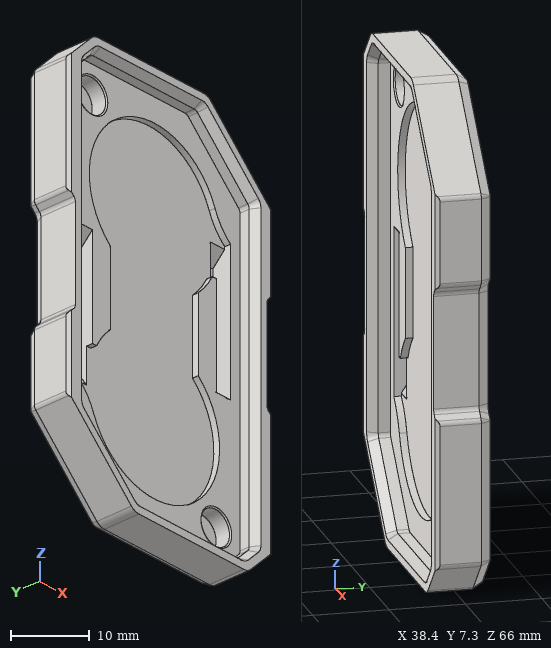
import cadquery as cq
import math

LENGTH = 66.0
WIDTH = 38.4
THICKNESS = 7.3
FRONT_Y = -THICKNESS / 2
HALF_TURN = 180.0

WAIST_WIDTH = 36.0
WAIST_HALF_LENGTH = 7.85
SMALL_CUT = 3.55
LARGE_CUT = 11.1
END_CORNER_RADIUS = 2.0
SIDE_CORNER_RADIUS = 0.9

BEVEL_ANGLE = 30.0
BACK_BEVEL_DEPTH = 1.4
SIDE_BEVEL_SIZE = 0.5

RIM_WIDTH = 1.2
RIM_BEVEL_DEPTH = 1.3
RECESS_CORNER_RADIUS = 1.65
RECESS_DEPTH = 2.9
FLOOR_Y = FRONT_Y + RECESS_DEPTH

POCKET_DEPTH = 1.0
LOBE_RADIUS = 12.2
LOBE_OFFSET = 15.05
NECK_WIDTH = 16.45
TAB_LOW = 9.45
TAB_HIGH = 15.5
TAB_BLEND_RADIUS = 10.0

SLOT_WIDTH = 2.65
SLOT_OUTER_X = 14.25
SLOT_INNER_X = SLOT_OUTER_X - SLOT_WIDTH
SLOT_FAR_END = 15.1
SLOT_NEAR_END = 7.05
SLOT_DEPTH = 3.05
LEFT_SLOT_RUN = 3.05
RIGHT_SLOT_RUN = 2.05

HOLE_DIAMETER = 5.35
HOLE_BEVEL = 0.2
HOLE_BEVEL_ANGLE = 45.0
HOLE_DEPTH = 2.5
HOLE_X = 11.6
HOLE_Z = 26.6


def plane_at(y):
    """Sketch plane at the given y: local x is X, local y is Z, normal towards -Y."""
    return cq.Workplane("XZ", origin=(0, y, 0))


def twice(half):
    """Points of a half outline followed by the same points turned half a turn."""
    return half + [(-x, -z) for x, z in half]


def half_turn(shape):
    """Shape turned half a turn about the thickness axis."""
    return shape.rotate((0, 0, 0), (0, 1, 0), HALF_TURN)


def outer_profile():
    """Closed outline with two small cut corners, two large ones and a waist."""
    side = WIDTH / 2
    waist = WAIST_WIDTH / 2
    end = LENGTH / 2
    step = side - waist
    half = [
        (SMALL_CUT - waist, end),
        (waist - LARGE_CUT, end),
        (side, end - LARGE_CUT - step),
        (side, WAIST_HALF_LENGTH + step),
        (waist, WAIST_HALF_LENGTH),
        (waist, -WAIST_HALF_LENGTH),
        (side, -WAIST_HALF_LENGTH - step),
        (side, SMALL_CUT + step - end),
    ]
    return plane_at(FRONT_Y).polyline(twice(half)).close()


def edges_between(low, high):
    """Selector for edges whose height |z| is between the two limits."""
    upper = cq.selectors.BoxSelector((-WIDTH, -THICKNESS, low), (WIDTH, THICKNESS, high))
    lower = cq.selectors.BoxSelector((-WIDTH, -THICKNESS, -high), (WIDTH, THICKNESS, -low))
    return upper + lower


def body():
    """Block with rounded corners whose back edge is bevelled all round."""
    near_end = LENGTH / 2 - END_CORNER_RADIUS
    block = outer_profile().extrude(BACK_BEVEL_DEPTH - THICKNESS)
    block = block.edges("|Y").edges(edges_between(near_end, LENGTH)).fillet(END_CORNER_RADIUS)
    block = block.edges("|Y").edges(edges_between(0, near_end)).fillet(SIDE_CORNER_RADIUS)
    back_outline = block.faces(">Y").wires().toPending()
    bevel = back_outline.workplane().extrude(BACK_BEVEL_DEPTH, taper=BEVEL_ANGLE, combine=False)
    return block.union(bevel)


def side_bevel(side):
    """Wedge along the front edge of one long side; side is -1 for left, 1 for right."""
    edge_x = side * WIDTH / 2
    wedge = [
        (edge_x, FRONT_Y + SIDE_BEVEL_SIZE),
        (edge_x, FRONT_Y),
        (edge_x - side * SIDE_BEVEL_SIZE, FRONT_Y),
    ]
    return cq.Workplane("XY").polyline(wedge).close().extrude(LENGTH / 2, both=True)


def recess_profile(inset):
    """Waist-width octagon moved inwards by inset, with concentric rounded corners."""
    core = RIM_WIDTH + RECESS_CORNER_RADIUS
    x = WAIST_WIDTH / 2 - core
    z = LENGTH / 2 - core
    cut_change = core * (2 - math.sqrt(2))
    small = SMALL_CUT - cut_change
    large = LARGE_CUT - cut_change
    half = [(small - x, z), (x - large, z), (x, z - large), (x, small - z)]
    return plane_at(FRONT_Y).polyline(twice(half)).close().offset2D(core - inset)


def recess():
    """Straight-walled recess with a bevelled mouth."""
    mouth = recess_profile(RIM_WIDTH).extrude(-RIM_BEVEL_DEPTH, taper=BEVEL_ANGLE)
    floor_inset = RIM_WIDTH + RIM_BEVEL_DEPTH * math.tan(math.radians(BEVEL_ANGLE))
    return mouth.union(recess_profile(floor_inset).extrude(-RECESS_DEPTH))


def blend_centre():
    """Centre of the arc that leads tangentially from the upper lobe to the slot corner."""
    dx = SLOT_OUTER_X
    dz = TAB_HIGH - LOBE_OFFSET
    span = math.hypot(dx, dz)
    reach = LOBE_RADIUS + TAB_BLEND_RADIUS
    along = (reach**2 - TAB_BLEND_RADIUS**2 + span**2) / (2 * span)
    across = math.sqrt(reach**2 - along**2)
    x = (along * dx - across * dz) / span
    z = (along * dz + across * dx) / span
    return x, LOBE_OFFSET + z


def pocket_tab():
    """Opening that joins the upper lobe to the right slot."""
    x, z = blend_centre()
    ratio = LOBE_RADIUS / (LOBE_RADIUS + TAB_BLEND_RADIUS)
    tangent = (x * ratio, LOBE_OFFSET + (z - LOBE_OFFSET) * ratio)
    corner = (SLOT_OUTER_X, TAB_HIGH)
    chord_x = (tangent[0] + corner[0]) / 2 - x
    chord_z = (tangent[1] + corner[1]) / 2 - z
    stretch = TAB_BLEND_RADIUS / math.hypot(chord_x, chord_z)
    middle = (x + chord_x * stretch, z + chord_z * stretch)
    outline = plane_at(FLOOR_Y).moveTo(0, TAB_LOW).lineTo(SLOT_OUTER_X, TAB_LOW).lineTo(*corner)
    outline = outline.threePointArc(middle, tangent).lineTo(0, LOBE_OFFSET).close()
    return outline.extrude(-POCKET_DEPTH)


def pocket():
    """Two round lobes joined by a neck, each with an opening to its slot."""
    lobes = plane_at(FLOOR_Y).pushPoints([(0, LOBE_OFFSET), (0, -LOBE_OFFSET)])
    shape = lobes.circle(LOBE_RADIUS).extrude(-POCKET_DEPTH)
    neck = plane_at(FLOOR_Y).rect(NECK_WIDTH, 2 * LOBE_OFFSET).extrude(-POCKET_DEPTH)
    tab = pocket_tab()
    return shape.union(neck).union(tab).union(half_turn(tab))


def slot(run):
    """Right-hand slot that narrows along Z towards its floor."""
    floor_y = FLOOR_Y + SLOT_DEPTH
    outline = [
        (FLOOR_Y, SLOT_FAR_END),
        (FLOOR_Y + POCKET_DEPTH, SLOT_FAR_END),
        (floor_y, SLOT_FAR_END - run),
        (floor_y, run - SLOT_NEAR_END),
        (FLOOR_Y, -SLOT_NEAR_END),
    ]
    side = cq.Workplane("YZ", origin=(SLOT_INNER_X, 0, 0))
    return side.polyline(outline).close().extrude(SLOT_WIDTH)


def holes():
    """Two diagonally opposite blind holes with bevelled mouths."""
    spots = [(-HOLE_X, HOLE_Z), (HOLE_X, -HOLE_Z)]
    drill = plane_at(FLOOR_Y).pushPoints(spots).circle(HOLE_DIAMETER / 2).extrude(-HOLE_DEPTH)
    mouth = plane_at(FLOOR_Y).pushPoints(spots).circle(HOLE_DIAMETER / 2 + HOLE_BEVEL)
    return drill.union(mouth.extrude(-HOLE_BEVEL, taper=HOLE_BEVEL_ANGLE))


result = (
    body()
    .cut(side_bevel(-1))
    .cut(side_bevel(1))
    .cut(recess())
    .cut(pocket())
    .cut(slot(RIGHT_SLOT_RUN))
    .cut(half_turn(slot(LEFT_SLOT_RUN)))
    .cut(holes())
)